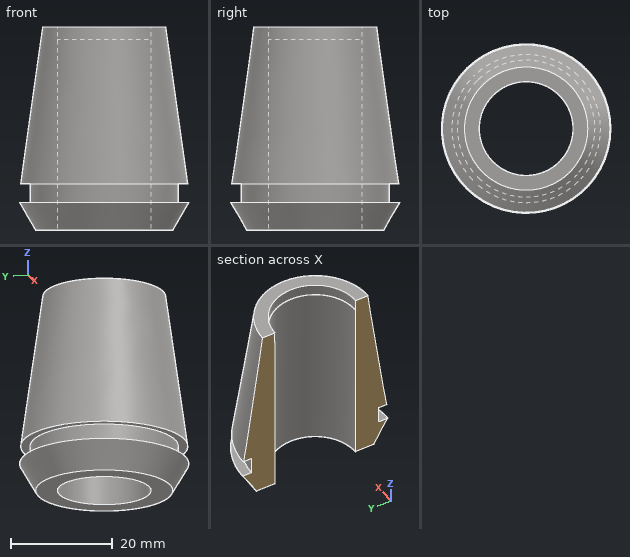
import cadquery as cq
import math

total_height = 40.0
flange_diameter = 33.35

nose_height = 5.5
nose_half_angle = 30.0

groove_diameter = 29.2
groove_width = 3.6

body_bottom_diameter = 32.9
body_half_angle = 8.0

bore_diameter = 18.4
mouth_diameter = 18.5
mouth_depth = 2.5

flange_radius = flange_diameter / 2
groove_radius = groove_diameter / 2
body_bottom_radius = body_bottom_diameter / 2
body_bottom_z = nose_height + groove_width
body_height = total_height - body_bottom_z
nose_bottom_radius = flange_radius - nose_height * math.tan(math.radians(nose_half_angle))
body_top_radius = body_bottom_radius - body_height * math.tan(math.radians(body_half_angle))


def revolved_blank():
    """Solid collet shape: half profile in the XZ plane turned about Z."""
    return (
        cq.Workplane("XZ")
        .moveTo(0, 0)
        .lineTo(nose_bottom_radius, 0)
        .lineTo(flange_radius, nose_height)
        .lineTo(groove_radius, nose_height)
        .lineTo(groove_radius, body_bottom_z)
        .lineTo(body_bottom_radius, body_bottom_z)
        .lineTo(body_top_radius, total_height)
        .lineTo(0, total_height)
        .close()
        .revolve(360, (0, 0, 0), (0, 1, 0))
    )


def stepped_bore():
    """Through bore joined with the wider mouth at the top."""
    bore = cq.Workplane("XY").circle(bore_diameter / 2).extrude(total_height)
    mouth = (
        cq.Workplane("XY")
        .workplane(offset=total_height - mouth_depth)
        .circle(mouth_diameter / 2)
        .extrude(mouth_depth)
    )
    return bore.union(mouth)


result = revolved_blank().cut(stepped_bore())